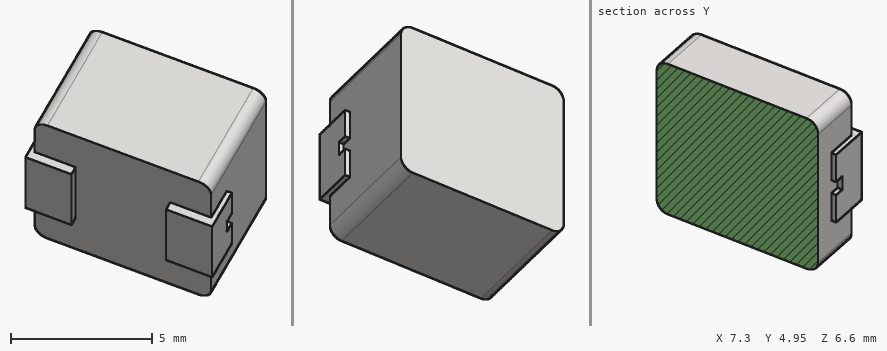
import cadquery as cq

body_width = 6.9
body_depth = 4.6
body_height = 6.6
corner_radius = 0.5

overall_width = 7.3
overall_depth = 4.95
terminal_height = 2.96
foot_length = 1.8
leg_length = 1.65

notch_height = 0.57
notch_depth = 0.4

side_thickness = (overall_width - body_width) / 2
foot_thickness = overall_depth - body_depth
mounting_y = -foot_thickness


def make_body():
    """Block with rounded edges running along Y."""
    block = cq.Workplane("XY").box(body_width, body_depth, body_height, centered=(True, False, True))
    return block.edges("|Y").fillet(corner_radius)


def make_terminal():
    """L-shaped terminal on the -X side: a foot under the body and a notched leg beside it."""
    outer_x = -overall_width / 2
    leg_end_y = mounting_y + leg_length
    terminal = (
        cq.Workplane("XY")
        .workplane(offset=-terminal_height / 2)
        .moveTo(outer_x, mounting_y)
        .lineTo(outer_x + foot_length, mounting_y)
        .lineTo(outer_x + foot_length, 0)
        .lineTo(outer_x + side_thickness, 0)
        .lineTo(outer_x + side_thickness, leg_end_y)
        .lineTo(outer_x, leg_end_y)
        .close()
        .extrude(terminal_height)
    )
    notch = (
        cq.Workplane("XY")
        .box(side_thickness, notch_depth, notch_height, centered=(False, False, True))
        .translate((outer_x, leg_end_y - notch_depth, 0))
    )
    return terminal.cut(notch)


left_terminal = make_terminal()
right_terminal = left_terminal.mirror("YZ")
result = make_body().union(left_terminal).union(right_terminal)